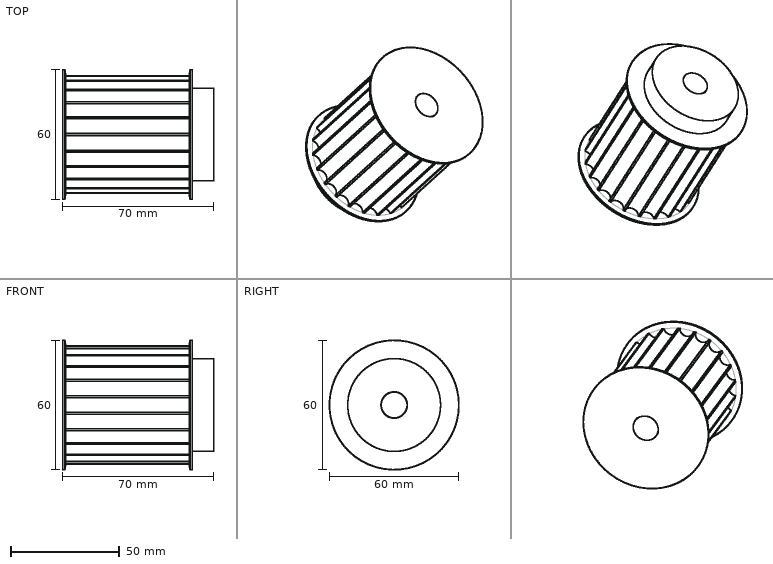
import cadquery as cq
import math

TOOTH_COUNT = 22
TOOTH_PITCH = 8.0
PITCH_LINE_OFFSET = 0.686
TIP_RADIUS = TOOTH_COUNT * TOOTH_PITCH / (2 * math.pi) - PITCH_LINE_OFFSET

GROOVE_ARC_RADIUS = 3.4
GROOVE_CENTRE_RADIUS = TIP_RADIUS
FIRST_GROOVE_ANGLE = 180.0

FLANGED_LENGTH = 60.0
FLANGE_RADIUS = 30.0
FLANGE_WIDTH = 1.5
FLANGE_FACE_RADIUS = TIP_RADIUS
FLANGE_BEVEL_ANGLE = 10.0
FLANGE_BEVEL_DEPTH = (FLANGE_RADIUS - FLANGE_FACE_RADIUS) * math.tan(math.radians(FLANGE_BEVEL_ANGLE))
FLANGE_RIM_WIDTH = FLANGE_WIDTH - FLANGE_BEVEL_DEPTH
HUB_DIAMETER = 43.0
HUB_LENGTH = 10.0
BORE_DIAMETER = 12.0

TOTAL_LENGTH = FLANGED_LENGTH + HUB_LENGTH


def cylinder(radius, start, length):
    """Solid cylinder on the X axis."""
    return cq.Workplane("YZ", origin=(start, 0, 0)).circle(radius).extrude(length)


def groove_cutters():
    """Round bars, one per groove, with the first groove facing -Y."""
    return (
        cq.Workplane("YZ")
        .polarArray(GROOVE_CENTRE_RADIUS, FIRST_GROOVE_ANGLE, 360, TOOTH_COUNT)
        .circle(GROOVE_ARC_RADIUS)
        .extrude(FLANGED_LENGTH)
    )


def flange():
    """Flange with its flat outer face at X = 0 and its bevelled side toward +X."""
    profile = [
        (0, 0),
        (0, FLANGE_RADIUS),
        (FLANGE_RIM_WIDTH, FLANGE_RADIUS),
        (FLANGE_WIDTH, FLANGE_FACE_RADIUS),
        (FLANGE_WIDTH, 0),
    ]
    return cq.Workplane("XY").polyline(profile).close().revolve(360, (0, 0, 0), (1, 0, 0))


toothed_body = cylinder(TIP_RADIUS, 0, FLANGED_LENGTH).cut(groove_cutters())
near_flange = flange()
far_flange = near_flange.mirror("YZ").translate((FLANGED_LENGTH, 0, 0))
hub = cylinder(HUB_DIAMETER / 2, FLANGED_LENGTH, HUB_LENGTH)
bore = cylinder(BORE_DIAMETER / 2, 0, TOTAL_LENGTH)

result = toothed_body.union(near_flange).union(far_flange).union(hub).cut(bore)